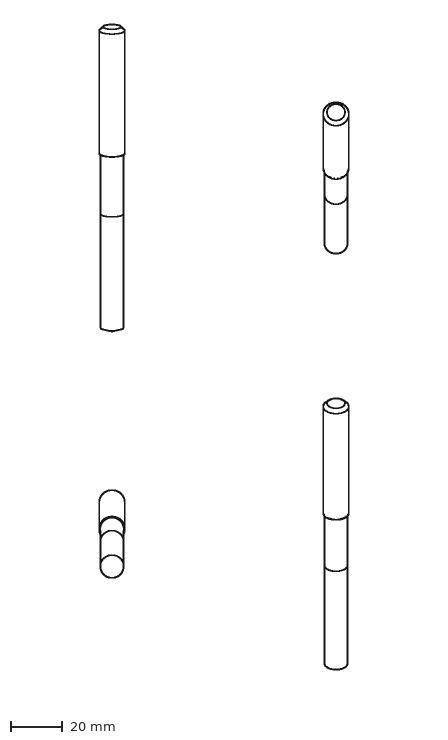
import cadquery as cq
import math

shank_diameter = 10.0
drill_diameter = 9.1
point_angle = 140.0
body_length = 121.0
cutting_length = 45.8
clamping_length = 51.0
chamfer_size = 1.5

shank_radius = shank_diameter / 2
drill_radius = drill_diameter / 2
tip_height = drill_radius / math.tan(math.radians(point_angle / 2))
cutting_top = tip_height + cutting_length
shank_top = tip_height + body_length
clamping_bottom = shank_top - clamping_length


def revolve_about_z(half_profile):
    """Turn a closed (radius, height) outline about the Z axis."""
    outline = cq.Workplane("XZ").polyline(half_profile).close()
    return outline.revolve(360, (0, 0, 0), (0, 1, 0))


def make_cutting_part():
    """Cylinder of the drill diameter that ends in the conical tip."""
    return revolve_about_z([
        (0, 0),
        (drill_radius, tip_height),
        (drill_radius, cutting_top),
        (0, cutting_top),
    ])


def make_shank():
    """Neck of the drill diameter with the thicker, chamfered clamping end above it."""
    return revolve_about_z([
        (0, cutting_top),
        (drill_radius, cutting_top),
        (drill_radius, clamping_bottom),
        (shank_radius, clamping_bottom),
        (shank_radius, shank_top - chamfer_size),
        (shank_radius - chamfer_size, shank_top),
        (0, shank_top),
    ])


cutting_part = make_cutting_part()
shank = make_shank()

result = cq.Compound.makeCompound([cutting_part.val(), shank.val()])